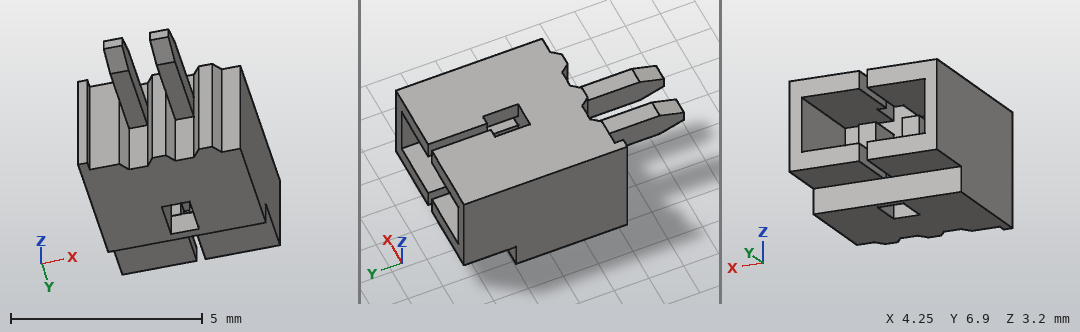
import cadquery as cq


overall_length = 6.9
housing_width = 4.25
housing_height = 3.2

foot_height = 0.705
foot_back_y = -1.5
shell_height = housing_height - foot_height
wall_thickness = 0.5
side_wall_thickness = 0.35

recess_y = -4.2
land_y = -4.45
rib_tip_y = -4.7
rib_width = 0.255

pin_pitch = 1.25
pin_width = 0.5
pin_height = 0.75
pin_tip_height = 0.3
pin_taper_length = 0.7
pin_inner_y = -1.6
pin_center_z = foot_height + shell_height / 2
pin_xs = [-pin_pitch / 2, pin_pitch / 2]

groove_mouth_width = 0.89

window_width = pin_pitch - pin_width
window_back_y = -1.7
window_front_y = -2.705
foot_window_back_y = -1.71
slot_width = 0.235


def box(x_min, x_max, y_min, y_max, z_min, z_max):
    """Axis-aligned block given by its limits."""
    return (
        cq.Workplane("XY")
        .box(x_max - x_min, y_max - y_min, z_max - z_min, centered=False)
        .translate((x_min, y_min, z_min))
    )


def centered_box(width, y_min, y_max, z_min, z_max):
    """Block centred on X = 0."""
    return box(-width / 2, width / 2, y_min, y_max, z_min, z_max)


def make_groove(center_x):
    """Flared vertical groove that runs the full height of the front face."""
    return (
        cq.Workplane("XY")
        .polyline([
            (center_x - pin_width / 2, recess_y),
            (center_x - groove_mouth_width / 2, land_y),
            (center_x + groove_mouth_width / 2, land_y),
            (center_x + pin_width / 2, recess_y),
        ])
        .close()
        .extrude(housing_height)
    )


def make_pin(center_x):
    """Flat pin whose outer end tapers in height."""
    tip_y = -overall_length
    taper_start_y = tip_y + pin_taper_length
    return (
        cq.Workplane("YZ")
        .polyline([
            (pin_inner_y, pin_center_z - pin_height / 2),
            (pin_inner_y, pin_center_z + pin_height / 2),
            (taper_start_y, pin_center_z + pin_height / 2),
            (tip_y, pin_center_z + pin_tip_height / 2),
            (tip_y, pin_center_z - pin_tip_height / 2),
            (taper_start_y, pin_center_z - pin_height / 2),
        ])
        .close()
        .extrude(pin_width / 2, both=True)
        .translate((center_x, 0, 0))
    )


def make_housing():
    half_width = housing_width / 2

    body = centered_box(housing_width, land_y, 0, foot_height, housing_height)
    body = body.union(centered_box(housing_width, land_y, foot_back_y, 0, foot_height))
    body = body.union(box(-half_width, -half_width + rib_width, rib_tip_y, land_y, 0, housing_height))

    last_groove_x = pin_xs[-1] + pin_pitch
    for groove_x in pin_xs + [last_groove_x]:
        body = body.cut(make_groove(groove_x))
    body = body.cut(box(last_groove_x, half_width, land_y, recess_y, 0, housing_height))

    cavity_width = housing_width - 2 * side_wall_thickness
    cavity_floor_z = foot_height + wall_thickness
    cavity_ceiling_z = housing_height - wall_thickness
    body = body.cut(centered_box(cavity_width, window_front_y, 0, cavity_floor_z, cavity_ceiling_z))

    body = body.cut(centered_box(window_width, window_front_y, window_back_y, foot_height, housing_height))
    body = body.cut(centered_box(window_width, window_front_y, foot_window_back_y, 0, foot_height))

    body = body.cut(centered_box(slot_width, window_back_y, 0, foot_height, housing_height))

    for pin_x in pin_xs:
        body = body.cut(make_pin(pin_x))
    return body


housing = make_housing()
pins = [make_pin(pin_x) for pin_x in pin_xs]

result = cq.Compound.makeCompound([housing.val(), *[pin.val() for pin in pins]])